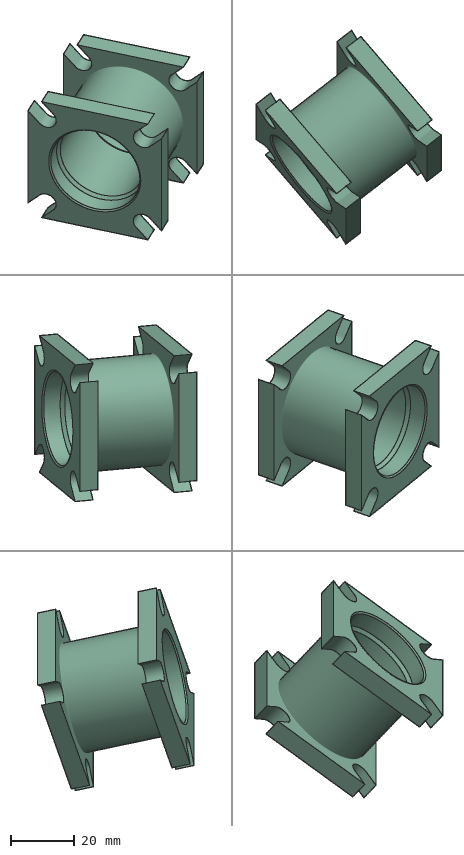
import cadquery as cq
import math

flange_side = 45.0
length = 39.0
flange_thickness = 6.0
tube_diameter = 35.5
root_fillet_radius = 0.2

mouth_diameter = 31.0
seat_diameter = 30.0
bore_diameter = 28.45
mouth_chamfer_depth = 0.5
taper_start_depth = 6.0
taper_length = 1.25

bolt_circle_diameter = 46.0
slot_width = 6.52


def make_flange(start_y):
    """Square plate that extends from start_y towards +Y."""
    plate = cq.Workplane("XY").box(flange_side, flange_thickness, flange_side, centered=(True, False, True))
    return plate.translate((0, start_y, 0))


def make_tube():
    """Solid of revolution with a small concave fillet at each inner flange face."""
    tube_radius = tube_diameter / 2
    root_radius = tube_radius + root_fillet_radius
    face_y = length / 2 - flange_thickness
    fillet_end_y = face_y - root_fillet_radius
    mid_radius = root_radius - root_fillet_radius * math.sqrt(0.5)
    mid_y = fillet_end_y + root_fillet_radius * math.sqrt(0.5)
    return (
        cq.Workplane("XY")
        .moveTo(0, face_y)
        .lineTo(root_radius, face_y)
        .threePointArc((mid_radius, mid_y), (tube_radius, fillet_end_y))
        .lineTo(tube_radius, -fillet_end_y)
        .threePointArc((mid_radius, -mid_y), (root_radius, -face_y))
        .lineTo(0, -face_y)
        .close()
        .revolve(360, (0, 0, 0), (0, 1, 0))
    )


def make_bore():
    """Revolved bore profile, mirrored about the middle of the length."""
    end_y = length / 2
    half_profile = [
        (mouth_diameter / 2, end_y),
        (seat_diameter / 2, end_y - mouth_chamfer_depth),
        (seat_diameter / 2, end_y - taper_start_depth),
        (bore_diameter / 2, end_y - taper_start_depth - taper_length),
    ]
    mirrored_half = [(radius, -y) for radius, y in reversed(half_profile)]
    profile = [(0, end_y)] + half_profile + mirrored_half + [(0, -end_y)]
    return cq.Workplane("XY").polyline(profile).close().revolve(360, (0, 0, 0), (0, 1, 0))


def make_corner_slot(angle):
    """Round-ended slot that runs diagonally outwards through both flanges."""
    inner_center = bolt_circle_diameter / 2
    outer_end = flange_side
    half_width = slot_width / 2
    slot = (
        cq.Workplane("XZ")
        .moveTo(outer_end, half_width)
        .lineTo(inner_center, half_width)
        .threePointArc((inner_center - half_width, 0), (inner_center, -half_width))
        .lineTo(outer_end, -half_width)
        .close()
        .extrude(length / 2, both=True)
    )
    return slot.rotate((0, 0, 0), (0, 1, 0), angle)


result = make_tube()
for flange_start in (-length / 2, length / 2 - flange_thickness):
    result = result.union(make_flange(flange_start))
result = result.cut(make_bore())
for slot_angle in (45, 135, 225, 315):
    result = result.cut(make_corner_slot(slot_angle))